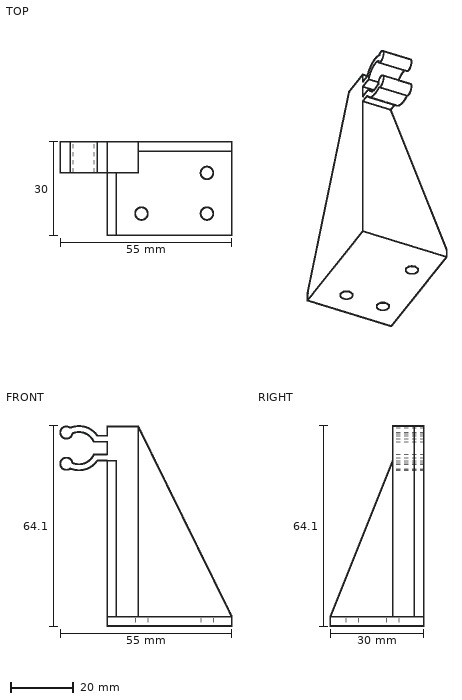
import cadquery as cq

base_length = 40.0
base_width = 30.0
wall = 3.0

column_side = 10.0
column_front = base_width - column_side
column_height = 63.95

hole_diameter = 4.0
hole_left = 11.0
hole_right = 32.0
hole_front = 7.0
hole_back = 20.0

total_height = 64.1
clip_inner_radius = 5.1
clip_thickness = 2.0
clip_outer_radius = clip_inner_radius + clip_thickness
clip_x = -9.0
clip_z = total_height - clip_outer_radius
arm_gap = 4.0
arm_top = arm_gap / 2 + clip_thickness
ball_radius = 2.0
clip_reach = 15.0
ball_x = ball_radius - clip_reach
ball_offset = 5.0


def front_profile(x=0, z=0):
    """Sketch plane on the back face; extrusion runs forwards."""
    return cq.Workplane("XZ", origin=(x, base_width, z))


def make_base():
    plate = cq.Workplane("XY").box(base_length, base_width, wall, centered=False)
    holes = [(hole_left, hole_front), (hole_right, hole_front), (hole_right, hole_back)]
    cutters = cq.Workplane("XY").pushPoints(holes).circle(hole_diameter / 2).extrude(wall)
    return plate.cut(cutters)


def make_column():
    return front_profile().rect(column_side, column_height, centered=False).extrude(column_side)


def make_back_wall():
    outline = [(0, 0), (base_length, 0), (base_length, wall), (column_side, column_height), (0, column_height)]
    return front_profile().polyline(outline).close().extrude(wall)


def make_left_wall():
    slope_top = clip_z - arm_top
    outline = [(0, 0), (base_width, 0), (base_width, slope_top), (column_front, slope_top), (0, wall)]
    return cq.Workplane("YZ").polyline(outline).close().extrude(wall)


def make_clip():
    clip = front_profile(clip_x, clip_z).circle(clip_outer_radius).extrude(column_side)

    arms = front_profile(clip_x / 2, clip_z).rect(-clip_x, 2 * arm_top).extrude(column_side)
    clip = clip.union(arms)

    bore = front_profile(clip_x, clip_z).circle(clip_inner_radius).extrude(column_side)
    gap = front_profile(clip_x / 2, clip_z).rect(-clip_x, arm_gap).extrude(column_side)

    mouth_scale = 2
    mouth_x = mouth_scale * (ball_x - clip_x)
    mouth_z = mouth_scale * ball_offset
    mouth_outline = [(0, 0), (mouth_x, mouth_z), (mouth_x, -mouth_z)]
    mouth = front_profile(clip_x, clip_z).polyline(mouth_outline).close().extrude(column_side)
    clip = clip.cut(bore).cut(gap).cut(mouth)

    for offset in (ball_offset, -ball_offset):
        ball = front_profile(ball_x, clip_z + offset).circle(ball_radius).extrude(column_side)
        clip = clip.union(ball)
    return clip


result = make_base()
for piece in (make_column(), make_back_wall(), make_left_wall(), make_clip()):
    result = result.union(piece)